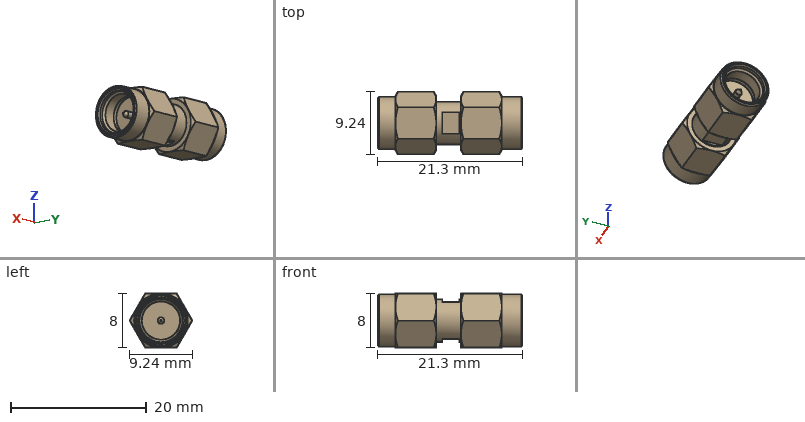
import cadquery as cq
import math

LENGTH = 21.3
ACROSS_FLATS = 8.0
ACROSS_CORNERS = ACROSS_FLATS / math.cos(math.radians(30))

LEFT_NUT_START = 2.6
RIGHT_NUT_START = 12.27
NUT_LENGTH = 6.03
NUT_CHAMFER_RADIUS = 3.98
NUT_CHAMFER_ANGLE = 30

SLEEVE_RADIUS = 3.9
RIM_OUTER_RADIUS = 3.66
LEFT_RIM_CHAMFER = 0.23
RIGHT_RIM_CHAMFER = 0.13

BODY_RADIUS = 3.17
FLAT_HEIGHT = 2.75
FLAT_START = 9.52
FLAT_END = 12.01

MOUTH_RADIUS = 3.4
LEAD_RADIUS = 3.17
BORE_RADIUS = 2.83
SEAT_RADIUS = 2.81
LEAD_LENGTH = 0.51
BORE_END = 2.98
SOCKET_DEPTH = 3.62

PIN_RADIUS = 0.5
PIN_TIP_RADIUS = 0.09
PIN_TIP_DEPTH = 1.73
PIN_TAPER_LENGTH = 0.64


def revolve_about_x(points):
    """Turn an (x, radius) outline about the connector axis."""
    return cq.Workplane("XY").polyline(points).close().revolve(360, (0, 0, 0), (1, 0, 0))


def hex_nut(start):
    """Hexagonal prism, corners along Y, chamfered conically at both ends."""
    end = start + NUT_LENGTH
    corner_radius = ACROSS_CORNERS / 2
    chamfer_length = (corner_radius - NUT_CHAMFER_RADIUS) * math.tan(math.radians(NUT_CHAMFER_ANGLE))
    prism = cq.Workplane("YZ", origin=(start, 0, 0)).polygon(6, ACROSS_CORNERS).extrude(NUT_LENGTH)
    envelope = revolve_about_x([
        (start, 0),
        (start, NUT_CHAMFER_RADIUS),
        (start + chamfer_length, corner_radius),
        (end - chamfer_length, corner_radius),
        (end, NUT_CHAMFER_RADIUS),
        (end, 0),
    ])
    return prism.intersect(envelope)


def sleeve(rim_x, inward, nut_x, chamfer_length):
    """Round sleeve from the rim to the nut; inward is +1 or -1 along X."""
    return revolve_about_x([
        (rim_x, 0),
        (rim_x, RIM_OUTER_RADIUS),
        (rim_x + inward * chamfer_length, SLEEVE_RADIUS),
        (nut_x, SLEEVE_RADIUS),
        (nut_x, 0),
    ])


def socket(rim_x, inward):
    """Stepped cavity with 45 degree lead-ins, a bore and a slightly narrower seat."""
    lead_start = MOUTH_RADIUS - LEAD_RADIUS
    lead_end = lead_start + LEAD_LENGTH
    bore_start = lead_end + LEAD_RADIUS - BORE_RADIUS
    profile = [
        (0, 0),
        (0, MOUTH_RADIUS),
        (lead_start, LEAD_RADIUS),
        (lead_end, LEAD_RADIUS),
        (bore_start, BORE_RADIUS),
        (BORE_END, BORE_RADIUS),
        (BORE_END, SEAT_RADIUS),
        (SOCKET_DEPTH, SEAT_RADIUS),
        (SOCKET_DEPTH, 0),
    ]
    return revolve_about_x([(rim_x + inward * depth, radius) for depth, radius in profile])


def contact_pin(rim_x, inward):
    """Round pin with a tapered, blunt tip, rooted in the socket floor."""
    root_depth = SOCKET_DEPTH + PIN_RADIUS
    profile = [
        (PIN_TIP_DEPTH, 0),
        (PIN_TIP_DEPTH, PIN_TIP_RADIUS),
        (PIN_TIP_DEPTH + PIN_TAPER_LENGTH, PIN_RADIUS),
        (root_depth, PIN_RADIUS),
        (root_depth, 0),
    ]
    return revolve_about_x([(rim_x + inward * depth, radius) for depth, radius in profile])


def central_body():
    """Cylinder between the nuts with a flat milled on the top and the bottom."""
    start = LEFT_NUT_START + NUT_LENGTH
    length = RIGHT_NUT_START - start
    body = cq.Workplane("YZ", origin=(start, 0, 0)).circle(BODY_RADIUS).extrude(length)
    flat_length = FLAT_END - FLAT_START
    cut_height = BODY_RADIUS - FLAT_HEIGHT
    for side in (1, -1):
        cutter = cq.Workplane("XY").box(flat_length, 2 * BODY_RADIUS, cut_height)
        cut_center = ((FLAT_START + FLAT_END) / 2, 0, side * (FLAT_HEIGHT + cut_height / 2))
        body = body.cut(cutter.translate(cut_center))
    return body


result = central_body().union(hex_nut(LEFT_NUT_START)).union(hex_nut(RIGHT_NUT_START))

ends = [
    (0, 1, LEFT_NUT_START, LEFT_RIM_CHAMFER),
    (LENGTH, -1, RIGHT_NUT_START + NUT_LENGTH, RIGHT_RIM_CHAMFER),
]
for rim_x, inward, nut_x, chamfer_length in ends:
    result = result.union(sleeve(rim_x, inward, nut_x, chamfer_length))
    result = result.cut(socket(rim_x, inward))
    result = result.union(contact_pin(rim_x, inward))